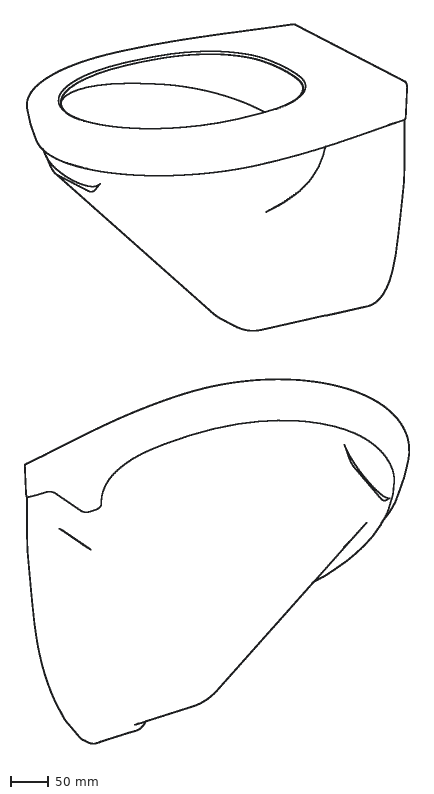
import cadquery as cq
import math


rim_length = 491.0
rim_half_width = 180.0
rim_top = 356.5
rim_depth = 56.5
rim_back_half_width = 140.5
rim_widest_reach = 260.0
rim_side_taper = 4.5
rim_front_mid_taper = 6.0
rim_front_taper = 17.0
rim_back_flare = 0.19
rim_top_round = 6.5
rim_bottom_round = 7.5
rim_base = rim_top - rim_depth
overlap = 5.0
body_top = rim_base + overlap

opening_half_width = 131.0
opening_back_reach = 106.5
opening_widest_reach = 269.5
opening_front_reach = 444.0
opening_bluntness = 2.5
opening_depth = 78.5
opening_back_taper = 4.5
opening_side_taper = 0.8
opening_front_taper = 1.5
opening_edge_break = 3.0
trough_back_depth = 65.5
trough_back_reach = 120.5
trough_front_reach = 458.5
trough_radius = 1078.0

bowl_sections = [
    (166.5, 44.0, 176.5, 215.5, 294.0, 2.0, 2.0),
    (186.0, 81.0, 127.5, 235.3, 338.0, 2.0, 2.2),
    (215.5, 116.5, 93.0, 245.0, 387.0, 2.3, 2.4),
    (260.0, 143.0, 76.0, 255.0, 441.0, 2.5, 2.5),
    (body_top, 157.0, 68.5, 255.0, 470.5, 2.5, 2.0),
]
bowl_spine_round = 14.5
bowl_spine_seam_reach = 147.0

spine_base_half_width = 45.5
spine_top_half_width = 69.0
spine_foot_reach = 186.0
spine_slope_top_reach = 444.5
spine_slope_top_z = 260.0
spine_toe_round = 59.0
spine_edge_round = 29.5

flange_half_width = 134.0
flange_straight_z = 235.3
flange_inner_x = 34.5
flange_base_reach = 50.5
flange_knee_reach = 62.5
flange_knee_z = 191.0
flange_shelf_reach = 37.0
flange_shelf_z = 242.5
flange_flare = 25.5
flange_sweep_excess = 1.1
flange_edge_round = 11.0
flange_shelf_round = 19.5
flange_spine_round = 10.0
flange_curve = [(125.0, 169.0), (102.0, 70.5), (77.5, 32.0), (45.0, 8.5), (0, 2.5)]

CURVE_STEPS = 6
clearance = 0.5

toward_front = cq.Vector(0, -1, 0)
toward_wall = cq.Vector(0, 1, 0)
inward = cq.Vector(-1, 0, 0)


def quarter_curve(z, half_width, widest_reach, end_reach, bluntness=2.0):
    """Superellipse quarter from the widest place to the middle plane, at height z."""
    points = []
    for step in range(CURVE_STEPS + 1):
        angle = math.pi / 2 * step / CURVE_STEPS
        across = max(math.cos(angle), 0) ** (2 / bluntness)
        along = math.sin(angle) ** (2 / bluntness)
        reach = widest_reach + (end_reach - widest_reach) * along
        points.append(cq.Vector(half_width * across, -reach, z))
    start = toward_front if end_reach > widest_reach else toward_wall
    start_speed = (points[1] - points[0]).Length
    end_speed = (points[-1] - points[-2]).Length
    return cq.Edge.makeSpline(
        points,
        tangents=[start * start_speed, inward * end_speed],
        parameters=range(len(points)),
        scale=False,
    )


def half_oval(z, half_width, back_reach, widest_reach, front_reach, back_bluntness=2.0, front_bluntness=2.0):
    """Closed half outline of an egg shape, straight along the middle plane."""
    middle = cq.Edge.makeLine(cq.Vector(0, -back_reach, z), cq.Vector(0, -front_reach, z))
    back = quarter_curve(z, half_width, widest_reach, back_reach, back_bluntness)
    front = quarter_curve(z, half_width, widest_reach, front_reach, front_bluntness)
    return cq.Wire.assembleEdges([middle, front, back])


def rim_outline(z, side_taper, front_taper):
    half_width = rim_half_width - side_taper
    front_reach = rim_length - front_taper
    wall_middle = cq.Vector(0, 0, z)
    wall_corner = cq.Vector(rim_back_half_width - side_taper, 0, z)
    widest = cq.Vector(half_width, -rim_widest_reach, z)
    front = cq.Vector(0, -front_reach, z)
    side = cq.Edge.makeSpline(
        [wall_corner, widest], tangents=[cq.Vector(rim_back_flare, -1, 0), toward_front]
    )
    nose = quarter_curve(z, half_width, rim_widest_reach, front_reach)
    return cq.Wire.assembleEdges(
        [cq.Edge.makeLine(wall_middle, wall_corner), side, nose, cq.Edge.makeLine(front, wall_middle)]
    )


def outer_edges(part, face):
    """Edges of a face that lie neither on the wall nor on the middle plane."""
    edges = part.faces(face).edges().vals()
    return part.newObject([e for e in edges if e.Center().x > clearance and e.Center().y < -clearance])


def make_rim():
    rim = cq.Workplane(cq.Solid.makeLoft([
        rim_outline(rim_base, rim_side_taper, rim_front_taper),
        rim_outline(rim_top - rim_depth / 2, rim_side_taper / 2, rim_front_mid_taper),
        rim_outline(rim_top, 0, 0),
    ]))
    rim = outer_edges(rim, ">Z").fillet(rim_top_round)
    return outer_edges(rim, "<Z").fillet(rim_bottom_round)


def make_bowl():
    return cq.Workplane(cq.Solid.makeLoft([half_oval(*section) for section in bowl_sections]))


def make_spine():
    side = (
        cq.Workplane("YZ").lineTo(-spine_foot_reach, 0)
        .lineTo(-spine_slope_top_reach, spine_slope_top_z)
        .lineTo(-spine_slope_top_reach, body_top).lineTo(0, body_top).close()
        .extrude(rim_half_width)
        .edges(cq.selectors.NearestToPointSelector((rim_half_width / 2, -spine_foot_reach, 0)))
        .fillet(spine_toe_round)
    )
    taper = (
        cq.Workplane("XZ").lineTo(spine_base_half_width, 0)
        .lineTo(spine_top_half_width, body_top).lineTo(0, body_top).close()
        .extrude(rim_length)
    )
    spine = side.intersect(taper)
    ridge = [
        e for e in spine.faces(">X").edges().vals()
        if e.Center().y < -clearance and e.Center().z < spine_slope_top_z
    ]
    return spine.newObject(ridge).fillet(spine_edge_round)


def make_flange_wing():
    profile = (
        cq.Workplane("YZ", origin=(flange_inner_x, 0, 0))
        .lineTo(-flange_base_reach - flange_flare, 0)
        .lineTo(-flange_knee_reach - flange_flare, flange_knee_z)
        .tangentArcPoint((-flange_shelf_reach - flange_flare, flange_shelf_z), relative=False)
        .lineTo(-flange_shelf_reach - flange_flare, body_top).lineTo(0, body_top).close()
    )
    sweep = cq.Vector(flange_half_width - flange_inner_x, flange_flare, 0) * flange_sweep_excess
    slab = cq.Workplane(cq.Solid.extrudeLinear(profile.val(), [], sweep))
    outline = (
        cq.Workplane("XZ").moveTo(0, body_top).lineTo(flange_half_width, body_top)
        .lineTo(flange_half_width, flange_straight_z)
        .spline(flange_curve, tangents=[(0, -1), (-1, 0)], includeCurrent=True)
        .close().extrude(rim_length)
    )
    wing = slab.intersect(outline)
    shelf_middle = (flange_half_width / 2, -flange_shelf_reach - flange_flare / 2, flange_shelf_z)
    wing = wing.edges(cq.selectors.NearestToPointSelector(shelf_middle)).fillet(flange_shelf_round)
    front_edges = [
        e for e in wing.edges().vals()
        if e.Center().x > flange_half_width / 2
        and e.Center().y < -flange_shelf_reach
        and e.BoundingBox().zlen > clearance
    ]
    return wing.newObject(front_edges).fillet(flange_edge_round)


def opening_outline(z, growth, depth_share):
    """Opening outline at height z, grown outward by the edge break and drawn in with depth."""
    return half_oval(
        z,
        opening_half_width + growth - opening_side_taper * depth_share,
        opening_back_reach - growth + opening_back_taper * depth_share,
        opening_widest_reach,
        opening_front_reach + growth - opening_front_taper * depth_share,
        opening_bluntness,
    )


def make_opening():
    walls = cq.Workplane(cq.Solid.makeLoft([
        opening_outline(rim_top - opening_depth, 0, 5),
        opening_outline(rim_top, 0, 0),
    ], True))
    edge_break = cq.Workplane(cq.Solid.makeLoft([
        opening_outline(rim_top - opening_edge_break, 0, 0),
        opening_outline(rim_top, opening_edge_break, 0),
    ], True))
    slope = math.atan(trough_back_depth / (trough_front_reach - trough_back_reach))
    trough = (
        cq.Workplane("XZ").center(0, trough_radius).circle(trough_radius)
        .extrude(2 * rim_length, both=True)
        .rotate((0, 0, 0), (1, 0, 0), -math.degrees(slope))
        .translate((0, -trough_front_reach, rim_top))
    )
    return walls.intersect(trough), edge_break


def add_bowl(spine):
    """Join the bowl to the spine with a hollow round along the underside of the bowl."""
    joined = spine.union(make_bowl())
    seams = [
        e for e in joined.edges().vals()
        if e.geomType() == "BSPLINE"
        and spine_base_half_width + 5 < e.Center().x < spine_top_half_width
        and e.Center().y < -bowl_spine_seam_reach
        and e.Center().z < spine_slope_top_z
    ]
    return joined.newObject(seams).fillet(bowl_spine_round)


def add_flange_wing(body):
    """Join the wing to the spine with a hollow round along the spine."""
    joined = body.union(make_flange_wing())
    front_limit = flange_knee_reach + flange_flare
    seams = [
        e for e in joined.edges().vals()
        if spine_base_half_width < e.Center().x < spine_top_half_width
        and -front_limit < e.Center().y < -flange_base_reach
        and flange_edge_round < e.Center().z < rim_base
    ]
    return joined.newObject(seams).fillet(flange_spine_round)


opening, opening_edge = make_opening()
rim = make_rim().cut(opening).cut(opening_edge)
lower_body = add_flange_wing(add_bowl(make_spine())).cut(opening)
right_half = rim.union(lower_body)
result = right_half.union(right_half.mirror("YZ"))